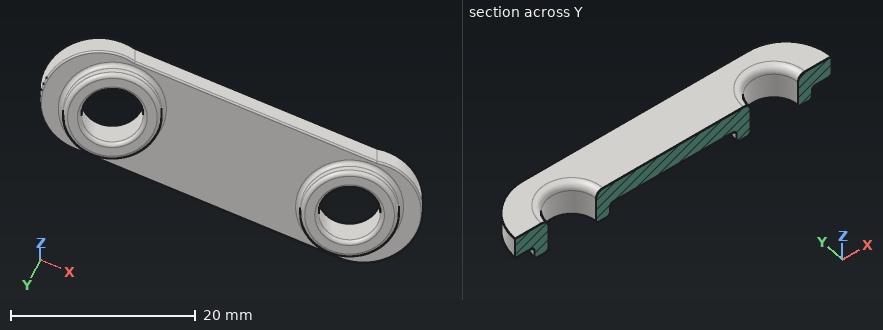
import math
import cadquery as cq

plate_length = 44.58
plate_thickness = 3.0
back_edge_y = 6.35
front_edge_y = -6.35
front_bulge = 0.15
bottom_edge_radius = 0.2

hole_spacing = 28.42
hole_diameter = 6.65
hole_mouth_radius = 1.0
hole_exit_radius = 0.45
boss_diameter = 10.7
total_height = 4.8
boss_root_radius = 0.5
boss_tip_radius = 0.5

end_radius = (back_edge_y - front_edge_y + front_bulge) / 2
end_centre_x = plate_length / 2 - end_radius
end_centre_y = back_edge_y - end_radius
front_corner_x = end_centre_x - math.sqrt(end_radius**2 - (end_centre_y - front_edge_y) ** 2)

ARC_MIDPOINT = 1 - math.sqrt(0.5)


def make_plate():
    """Long plate with rounded ends and a rounded edge around its underside."""
    half_length = plate_length / 2
    plate = (
        cq.Workplane("XY")
        .moveTo(-end_centre_x, back_edge_y)
        .lineTo(end_centre_x, back_edge_y)
        .threePointArc((half_length, end_centre_y), (front_corner_x, front_edge_y))
        .lineTo(-front_corner_x, front_edge_y)
        .threePointArc((-half_length, end_centre_y), (-end_centre_x, back_edge_y))
        .close()
        .extrude(-plate_thickness)
    )
    return plate.faces("<Z").edges().fillet(bottom_edge_radius)


def revolve_at(profile, x):
    """Spin a profile about the vertical axis and move it along the plate."""
    return profile.revolve(360, (0, 0, 0), (0, 1, 0)).translate((x, 0, 0))


def make_boss(x):
    """Round boss under the plate, flared at its root and rounded at its tip."""
    radius = boss_diameter / 2
    root_z = -plate_thickness
    tip_z = -total_height
    root_offset = boss_root_radius * ARC_MIDPOINT
    tip_offset = boss_tip_radius * ARC_MIDPOINT
    profile = (
        cq.Workplane("XZ")
        .moveTo(0, root_z)
        .lineTo(radius + boss_root_radius, root_z)
        .threePointArc((radius + root_offset, root_z - root_offset), (radius, root_z - boss_root_radius))
        .lineTo(radius, tip_z + boss_tip_radius)
        .threePointArc((radius - tip_offset, tip_z + tip_offset), (radius - boss_tip_radius, tip_z))
        .lineTo(0, tip_z)
        .close()
    )
    return revolve_at(profile, x)


def make_hole(x):
    """Cutter for a through hole with both mouths rounded."""
    radius = hole_diameter / 2
    mouth_offset = hole_mouth_radius * ARC_MIDPOINT
    exit_offset = hole_exit_radius * ARC_MIDPOINT
    exit_z = -total_height
    profile = (
        cq.Workplane("XZ")
        .lineTo(radius + hole_mouth_radius, 0)
        .threePointArc((radius + mouth_offset, -mouth_offset), (radius, -hole_mouth_radius))
        .lineTo(radius, exit_z + hole_exit_radius)
        .threePointArc((radius + exit_offset, exit_z + exit_offset), (radius + hole_exit_radius, exit_z))
        .lineTo(0, exit_z)
        .close()
    )
    return revolve_at(profile, x)


hole_positions = (-hole_spacing / 2, hole_spacing / 2)

result = make_plate()
for hole_x in hole_positions:
    result = result.union(make_boss(hole_x))
for hole_x in hole_positions:
    result = result.cut(make_hole(hole_x))